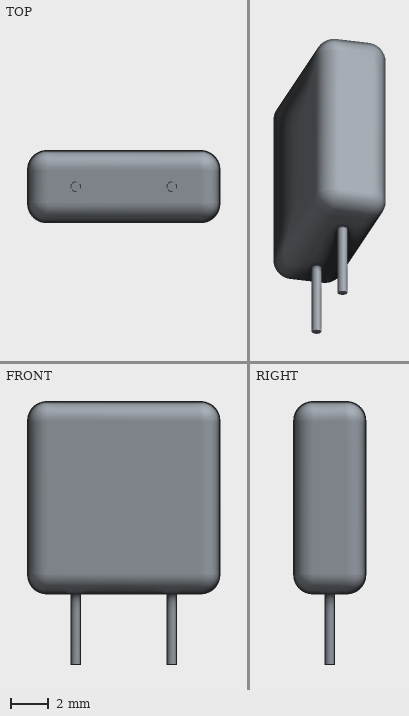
import cadquery as cq

overall_height = 13.9
body_width = 10.16
body_depth = 3.81
body_height = 10.16
edge_radius = 1.016
lead_diameter = 0.51
lead_pitch = 5.08
lead_length = overall_height - body_height


def make_body():
    """Rounded rectangular case standing on the XY plane, every edge filleted."""
    block = cq.Workplane("XY").box(
        body_width, body_depth, body_height, centered=(True, True, False)
    )
    return block.edges().fillet(edge_radius)


def make_lead(x_position):
    """Straight round wire hanging down from the underside of the case."""
    return (
        cq.Workplane("XY")
        .center(x_position, 0)
        .circle(lead_diameter / 2)
        .extrude(-lead_length)
    )


body = make_body()
leads = [make_lead(side * lead_pitch / 2) for side in (-1, 1)]

result = cq.Compound.makeCompound([body.val(), *(lead.val() for lead in leads)])